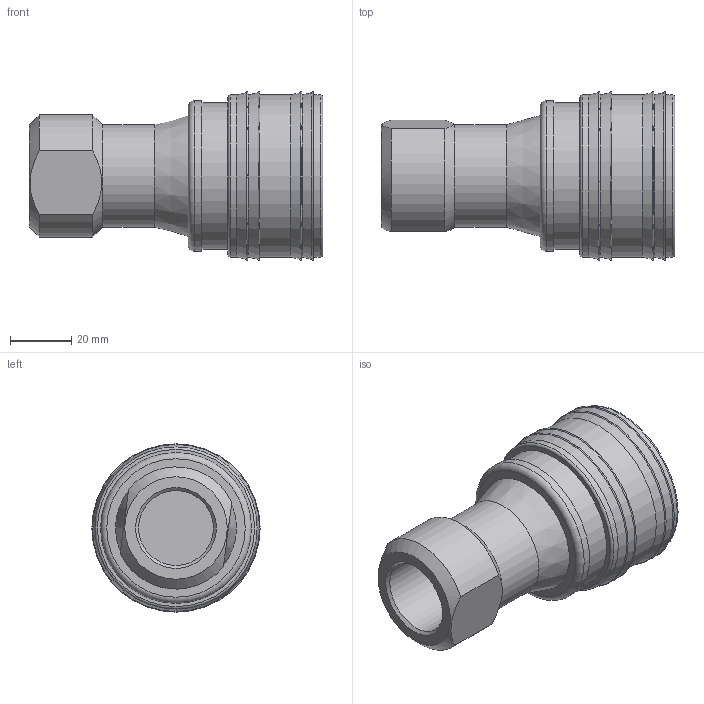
import cadquery as cq

TOTAL_LENGTH = 96.0
NUT_LENGTH = 24.0
SHANK_END = 41.0
COLLAR_START = 52.0
COLLAR_LENGTH = 4.5
SLEEVE_START = 65.0
FIRST_RIDGE_PAIR = 67.9
SECOND_RIDGE_PAIR = 85.5

NUT_DIAMETER = 40.0
SHANK_DIAMETER = 33.5
CONE_END_DIAMETER = 39.6
COLLAR_DIAMETER = 49.3
NECK_DIAMETER = 48.0
SLEEVE_DIAMETER = 53.0
RIDGE_DIAMETER = 55.04

FLAT_WIDTH = 34.0
FLAT_TILT = 7.5

COLLAR_FILLET = 2.0
SLEEVE_FILLET = 0.8

RIDGE_RISE = 3.4
RIDGE_CREST_RADIUS = 0.25
RIDGE_PITCH = 3.8
RIDGES_PER_PAIR = 2

BORE_DIAMETER = 24.5
BORE_MOUTH_DIAMETER = 26.4
BORE_DEPTH = 20.0


def cylinder(start, length, diameter):
    """Round bar along X."""
    return cq.Workplane("YZ").workplane(offset=start).circle(diameter / 2).extrude(length)


def cone(start, length, start_diameter, end_diameter):
    """Truncated cone along X."""
    profile = [
        (start, 0),
        (start, start_diameter / 2),
        (start + length, end_diameter / 2),
        (start + length, 0),
    ]
    return cq.Workplane("XY").polyline(profile).close().revolve(360, (0, 0, 0), (1, 0, 0))


def nut():
    """Chamfered round end with two opposite wrench flats."""
    chamfer = (NUT_DIAMETER - SHANK_DIAMETER) / 2
    body = cylinder(0, NUT_LENGTH, NUT_DIAMETER).edges().chamfer(chamfer)
    slab = (
        cq.Workplane("XY")
        .box(NUT_LENGTH, FLAT_WIDTH, NUT_DIAMETER)
        .translate((NUT_LENGTH / 2, 0, 0))
        .rotate((0, 0, 0), (1, 0, 0), FLAT_TILT)
    )
    return body.intersect(slab)


def shank():
    """Straight shank that flares into a cone under the collar."""
    straight = cylinder(NUT_LENGTH, SHANK_END - NUT_LENGTH, SHANK_DIAMETER)
    flare = cone(SHANK_END, COLLAR_START - SHANK_END, SHANK_DIAMETER, CONE_END_DIAMETER)
    return straight.union(flare)


def collar():
    """Rounded collar and the neck running into the sleeve."""
    ring = cylinder(COLLAR_START, COLLAR_LENGTH, COLLAR_DIAMETER)
    ring = ring.faces("<X").edges().fillet(COLLAR_FILLET)
    neck_start = COLLAR_START + COLLAR_LENGTH
    return ring.union(cylinder(neck_start, SLEEVE_START - neck_start, NECK_DIAMETER))


def ridge(start):
    """One grip ridge on the sleeve."""
    base = SLEEVE_DIAMETER / 2
    crest = RIDGE_DIAMETER / 2
    shoulder = crest - RIDGE_CREST_RADIUS
    rise_end = start + RIDGE_RISE - RIDGE_CREST_RADIUS
    drop = rise_end + 2 * RIDGE_CREST_RADIUS
    return (
        cq.Workplane("XY")
        .moveTo(start, 0)
        .lineTo(start, base)
        .lineTo(rise_end, shoulder)
        .threePointArc((rise_end + RIDGE_CREST_RADIUS, crest), (drop, shoulder))
        .lineTo(drop, 0)
        .close()
        .revolve(360, (0, 0, 0), (1, 0, 0))
    )


def sleeve():
    """Sliding sleeve with two pairs of grip ridges."""
    body = cylinder(SLEEVE_START, TOTAL_LENGTH - SLEEVE_START, SLEEVE_DIAMETER)
    body = body.edges().fillet(SLEEVE_FILLET)
    for pair_start in (FIRST_RIDGE_PAIR, SECOND_RIDGE_PAIR):
        for index in range(RIDGES_PER_PAIR):
            body = body.union(ridge(pair_start + index * RIDGE_PITCH))
    return body


def bore():
    """Blind bore with a 45 degree countersunk mouth."""
    mouth_depth = (BORE_MOUTH_DIAMETER - BORE_DIAMETER) / 2
    mouth = cone(0, mouth_depth, BORE_MOUTH_DIAMETER, BORE_DIAMETER)
    return cylinder(0, BORE_DEPTH, BORE_DIAMETER).union(mouth)


result = nut().union(shank()).union(collar()).union(sleeve()).cut(bore())